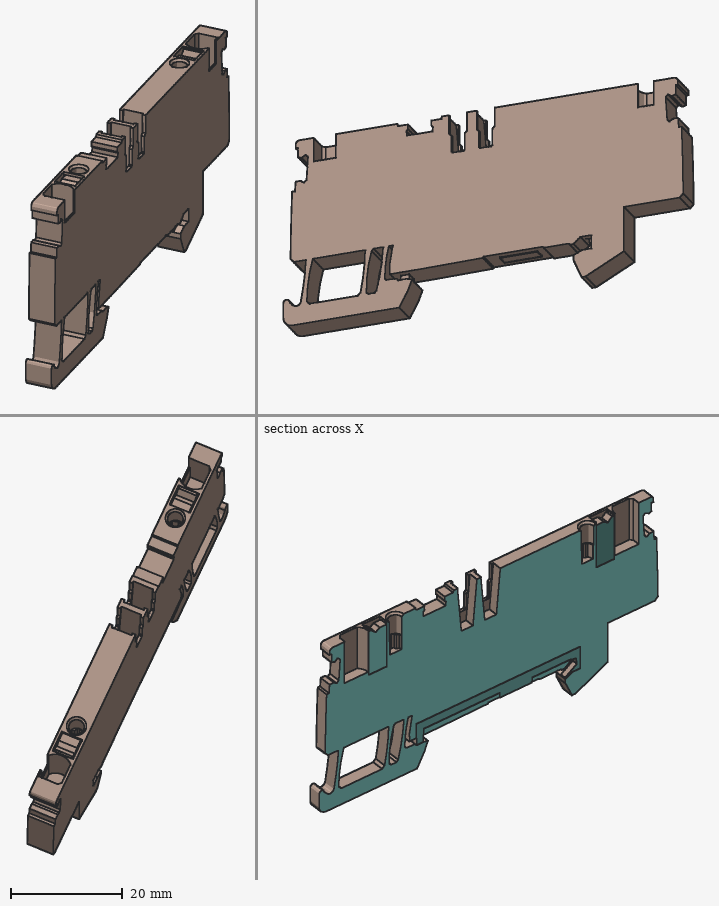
import cadquery as cq
import math

LENGTH = 77.05
WIDTH = 5.1
HEIGHT = 36.1
Y_MAX = LENGTH / 2
Y_MIN = -LENGTH / 2

MID_Y = 0.7
BLOCK_HALF = Y_MAX - MID_Y
BLOCK_BOTTOM = 12.4
CORNER = 0.7
FLANK_MID = 37.75
FLANK_MID_Z = 18.5
SHOULDER = (37.5, 26.3)
TOP_ROUND_START = 36.05
TOP_ROUND_MID = (36.6, 35.9)
TOP_ROUND_END = (36.8, 35.4)

RAIL_FACE = 7.0
RAIL_RELIEF = 7.25

FOOT_FLOOR = 3.7
FOOT_TOE_RADIUS = 1.8

SLOT_CENTERS = (0.5, -4.85)
SLOT_FLOOR = 28.65
SLOT_STEP = 32.5
SLOT_TAPER = 0.5
SLOT_UPPER_WIDTH = 3.5
SLOT_LOWER_WIDTH = 2.55
SLOT_CORNER = 0.2
SLOT_POCKET_WIDTH = 4.3
SLOT_POCKET_ACROSS = 3.85
SLOT_POCKET_FLOOR = 26.2

MARKER_CENTER = -12.25
MARKER_MOUTH_HALF = 4.3
MARKER_STEP_HALF = 4.15
MARKER_STEP_Z = 35.7
MARKER_LIP_HALF = 2.2
MARKER_LIP_Z = 34.75
MARKER_UNDERCUT_HALF = 2.55
MARKER_UNDERCUT_Z = 34.35
MARKER_FLOOR_HALF = 2.5
MARKER_FLOOR_Z = 33.5

TEST_HOLE_AT = 21.8
TEST_HOLE_MOUTH_RADIUS = 1.8
TEST_HOLE_RADIUS = 1.4
TEST_HOLE_MOUTH_DEPTH = 0.5
TEST_HOLE_ROUND_DEPTH = 4.6
TEST_HOLE_DEPTH = 7.7
TEST_HOLE_LOBES = ((0, 1.3), (20, 1.3), (46, 0.9), (64, 1.3), (90, 1.3), (112, 1.1), (130, 1.3), (180, 1.2))

ENTRY_INNER = 28.05
ENTRY_SHOULDER = 29.0
ENTRY_OUTER = 33.35
ENTRY_X_MIN = -2.0
ENTRY_X_MAX = 2.2
ENTRY_CORNER = 0.55
ENTRY_DEPTH = 9.25
ENTRY_NOTCH_INNER = 29.05
ENTRY_NOTCH_OUTER = {1: 32.1, -1: ENTRY_OUTER}
ENTRY_NOTCH_DEPTH = 4.6

PUSHER_INNER = 23.8
PUSHER_OUTER = 27.8
PUSHER_POCKET_X_MIN = -2.0
PUSHER_POCKET_X_MAX = 2.0
PUSHER_X_MIN = -1.7
PUSHER_X_MAX = 1.85
PUSHER_BOTTOM = 26.2
PUSHER_GROOVE_START = 25.4
PUSHER_GROOVE_BOTTOM = 26.35
PUSHER_GROOVE_END = 27.35
PUSHER_FLAT_Z = 35.6
PUSHER_GROOVE_Z = 35.0
PUSHER_RIM_Z = 35.9

CONTACT_THICKNESS = 2.3
CONTACT_TOP = 10.0
CONTACT_FACE = 7.1
CONTACT_BACK = 8.3
CONTACT_PAD_Y = (9.85, 2.6)
CONTACT_POST_Y = (-14.8, -16.4)
CONTACT_POST_BOTTOM = 5.4

CONTACT_HOOK_BACK = 20.8
HOOK_OUTER_Y = 27.1
HOOK_POCKET_TOP = 7.9
HOOK_POCKET_FLOOR = 5.3
HOOK_BEND_Y = 19.0
HOOK_TIP = (17.3, 4.55)

SIDES = (1, -1)


def side_y(side, distance):
    """Y of a point at a distance from the symmetry plane, on the +Y or -Y side."""
    return MID_Y + side * distance


def plate(sketch, width=WIDTH):
    """Extrude a closed YZ sketch symmetrically about X = 0."""
    return sketch.close().extrude(width / 2, both=True)


def yz_polygon(points, width=WIDTH):
    return plate(cq.Workplane("YZ").polyline(points), width)


def box(x_range, y_range, z_range):
    """Box between two limits along each axis."""
    (x0, x1), (y0, y1), (z0, z1) = x_range, y_range, z_range
    return cq.Workplane("XY").box(x1 - x0, y1 - y0, z1 - z0, centered=False).translate((x0, y0, z0))


def end_points(side):
    """Stepped end of the upper block, from below the rounded top edge to the shoulder."""
    profile = [
        TOP_ROUND_END,
        (36.8, 34.7),
        (36.4, 34.7),
        (36.4, 32.8),
        (35.7, 32.6),
        (34.9, 33.05),
        (34.4, 32.6),
        (34.75, 28.1),
        (35.2, 27.65),
        (35.8, 28.1),
        (36.8, 28.1),
        (37.0, 26.3),
        SHOULDER,
    ]
    return [(side_y(side, distance), z) for distance, z in profile]


def flank_arc(side):
    """Middle point and lower end of the slightly bowed flank below the shoulder."""
    return (side_y(side, FLANK_MID), FLANK_MID_Z), (side_y(side, BLOCK_HALF), BLOCK_BOTTOM + CORNER)


def housing_plate():
    """Solid plate with the outer outline of the block, the fixed hook and the clip foot."""
    foot_round = FOOT_TOE_RADIUS * (1 - math.sqrt(0.5))
    flank_mid, flank_end = flank_arc(-1)
    top_mid, top_mid_z = TOP_ROUND_MID
    top_end, top_end_z = TOP_ROUND_END
    sketch = (
        cq.Workplane("YZ")
        .moveTo(side_y(1, TOP_ROUND_START), HEIGHT)
        .threePointArc((side_y(1, top_mid), top_mid_z), (side_y(1, top_end), top_end_z))
        .polyline(end_points(1)[1:], includeCurrent=True)
        .threePointArc(*flank_arc(1))
        .lineTo(side_y(1, BLOCK_HALF - CORNER), BLOCK_BOTTOM)
        .lineTo(HOOK_OUTER_Y, BLOCK_BOTTOM)
        .lineTo(HOOK_OUTER_Y, 3.7)
        .lineTo(19.7, 0)
        .lineTo(18.95, 0)
        .lineTo(17.4, 3.5)
        .lineTo(*HOOK_TIP)
        .lineTo(HOOK_BEND_Y, HOOK_POCKET_FLOOR)
        .lineTo(CONTACT_HOOK_BACK, HOOK_POCKET_FLOOR)
        .lineTo(CONTACT_HOOK_BACK, HOOK_POCKET_TOP)
        .lineTo(18.7, HOOK_POCKET_TOP)
        .lineTo(17.4, 6.8)
        .lineTo(16.65, 6.8)
        .lineTo(16.5, RAIL_FACE)
        .lineTo(11.6, RAIL_FACE)
        .lineTo(11.5, RAIL_RELIEF)
        .lineTo(0.1, RAIL_RELIEF)
        .lineTo(-0.1, RAIL_FACE)
        .lineTo(-11.55, 6.85)
        .lineTo(-17.95, 6.85)
        .lineTo(-18.0, 8.6)
        .lineTo(-17.4, BLOCK_BOTTOM)
        .lineTo(-18.2, BLOCK_BOTTOM)
        .threePointArc((-18.7, 9.6), (-18.95, 6.2))
        .lineTo(-18.7, 5.85)
        .lineTo(-16.7, 5.8)
        .lineTo(CONTACT_POST_Y[1], CONTACT_POST_BOTTOM)
        .lineTo(CONTACT_POST_Y[0], CONTACT_POST_BOTTOM)
        .lineTo(-13.7, 5.1)
        .lineTo(-14.5, 3.1)
        .lineTo(-16.2, 0)
        .lineTo(Y_MIN + FOOT_TOE_RADIUS, 0)
        .threePointArc((Y_MIN + foot_round, foot_round), (Y_MIN, FOOT_TOE_RADIUS))
        .lineTo(Y_MIN, 4.6)
        .threePointArc((-37.9, 5.25), (-37.3, 4.6))
        .lineTo(-36.6, 3.9)
        .threePointArc((-35.9, FOOT_FLOOR), (-35.1, 4.5))
        .threePointArc((-34.4, 9.1), (-34.1, BLOCK_BOTTOM))
        .lineTo(side_y(-1, BLOCK_HALF - CORNER), BLOCK_BOTTOM)
        .lineTo(*flank_end)
        .threePointArc(flank_mid, (side_y(-1, SHOULDER[0]), SHOULDER[1]))
        .polyline(end_points(-1)[-2::-1], includeCurrent=True)
        .threePointArc((side_y(-1, top_mid), top_mid_z), (side_y(-1, TOP_ROUND_START), HEIGHT))
    )
    return plate(sketch)


def foot_windows():
    """Two windows between the curved struts that carry the clip foot."""
    wide = (
        cq.Workplane("YZ")
        .moveTo(-22.7, BLOCK_BOTTOM)
        .threePointArc((-23.0, 8.2), (-23.65, 4.2))
        .lineTo(-24.2, FOOT_FLOOR)
        .lineTo(-33.4, FOOT_FLOOR)
        .lineTo(-34.0, 4.2)
        .threePointArc((-33.7, 8.3), (-32.8, BLOCK_BOTTOM))
    )
    narrow = (
        cq.Workplane("YZ")
        .moveTo(-19.25, BLOCK_BOTTOM)
        .threePointArc((-19.7, 8.25), (-20.6, 4.1))
        .lineTo(-20.95, FOOT_FLOOR)
        .lineTo(-22.1, FOOT_FLOOR)
        .lineTo(-22.5, 4.0)
        .threePointArc((-22.3, 8.25), (-21.5, 12.0))
        .lineTo(-21.1, BLOCK_BOTTOM)
    )
    return plate(wide).union(plate(narrow))


def jumper_slot(center):
    """Stepped slot across the full width, with a deeper, tapered pocket inside."""
    upper = SLOT_UPPER_WIDTH / 2
    lower = SLOT_LOWER_WIDTH / 2
    half = [
        (upper, HEIGHT),
        (upper, SLOT_STEP),
        (lower, SLOT_STEP - SLOT_TAPER),
        (lower, SLOT_FLOOR + SLOT_CORNER),
        (lower - SLOT_CORNER, SLOT_FLOOR),
    ]
    right = [(center + offset, z) for offset, z in half]
    left = [(center - offset, z) for offset, z in reversed(half)]
    through = yz_polygon(right + left)

    mouth = SLOT_POCKET_WIDTH / 2
    pocket = yz_polygon(
        [
            (center + mouth, HEIGHT),
            (center + lower, SLOT_POCKET_FLOOR),
            (center - lower, SLOT_POCKET_FLOOR),
            (center - mouth, HEIGHT),
        ],
        SLOT_POCKET_ACROSS,
    )
    return through.union(pocket)


def marker_groove():
    """Shallow step with an undercut groove that holds a marker tag."""
    half = [
        (MARKER_MOUTH_HALF, HEIGHT),
        (MARKER_STEP_HALF, MARKER_STEP_Z),
        (MARKER_LIP_HALF, MARKER_STEP_Z),
        (MARKER_LIP_HALF, MARKER_LIP_Z),
        (MARKER_UNDERCUT_HALF, MARKER_UNDERCUT_Z),
        (MARKER_FLOOR_HALF, MARKER_FLOOR_Z),
    ]
    right = [(MARKER_CENTER + offset, z) for offset, z in half]
    left = [(MARKER_CENTER - offset, z) for offset, z in reversed(half)]
    return yz_polygon(right + left)


def test_hole(side):
    """Round bore with a conical mouth and a lobed lower part; one lobe points to the middle of the block."""
    lobes = list(TEST_HOLE_LOBES)
    lobes += [(-angle, radius) for angle, radius in reversed(TEST_HOLE_LOBES[1:-1])]
    points = [
        (radius * math.sin(math.radians(angle)), -side * radius * math.cos(math.radians(angle)))
        for angle, radius in lobes
    ]
    center = (0, side_y(side, TEST_HOLE_AT), HEIGHT)
    lobed = cq.Workplane("XY", origin=center).polyline(points).close().extrude(-TEST_HOLE_DEPTH)
    bore = cq.Workplane("XY", origin=center).circle(TEST_HOLE_RADIUS).extrude(-TEST_HOLE_ROUND_DEPTH)
    mouth = (
        cq.Workplane("XY", origin=center)
        .circle(TEST_HOLE_MOUTH_RADIUS)
        .workplane(offset=-TEST_HOLE_MOUTH_DEPTH)
        .circle(TEST_HOLE_RADIUS)
        .loft()
    )
    return lobed.union(bore).union(mouth)


def wire_entry(side):
    """Wire funnel with an arched inner side and a notch through the +X wall."""
    shoulder = side_y(side, ENTRY_SHOULDER)
    outer = side_y(side, ENTRY_OUTER)
    x_mid = (ENTRY_X_MIN + ENTRY_X_MAX) / 2
    funnel = (
        cq.Workplane("XY", origin=(0, 0, HEIGHT))
        .moveTo(ENTRY_X_MIN, shoulder)
        .threePointArc((x_mid, side_y(side, ENTRY_INNER)), (ENTRY_X_MAX, shoulder))
        .lineTo(ENTRY_X_MAX, outer)
        .lineTo(ENTRY_X_MIN + ENTRY_CORNER, outer)
        .lineTo(ENTRY_X_MIN, outer - side * ENTRY_CORNER)
        .close()
        .extrude(-ENTRY_DEPTH)
    )
    notch = box(
        (0, WIDTH / 2),
        sorted((side_y(side, ENTRY_NOTCH_INNER), side_y(side, ENTRY_NOTCH_OUTER[side]))),
        (HEIGHT - ENTRY_NOTCH_DEPTH, HEIGHT),
    )
    return funnel.union(notch)


def pusher_pocket(side):
    return box(
        (PUSHER_POCKET_X_MIN, PUSHER_POCKET_X_MAX),
        sorted((side_y(side, PUSHER_INNER), side_y(side, PUSHER_OUTER))),
        (PUSHER_BOTTOM, HEIGHT),
    )


def make_pusher(side):
    """Release pusher: a block whose top has a flat, a cross groove and a raised rim."""
    profile = [
        (PUSHER_INNER, PUSHER_BOTTOM),
        (PUSHER_INNER, PUSHER_FLAT_Z),
        (PUSHER_GROOVE_START, PUSHER_FLAT_Z),
        (PUSHER_GROOVE_BOTTOM, PUSHER_GROOVE_Z),
        (PUSHER_GROOVE_END, PUSHER_RIM_Z),
        (PUSHER_OUTER, PUSHER_RIM_Z),
        (PUSHER_OUTER, PUSHER_BOTTOM),
    ]
    points = [(side_y(side, distance), z) for distance, z in profile]
    blank = yz_polygon(points, PUSHER_X_MAX - PUSHER_X_MIN)
    return blank.translate(((PUSHER_X_MIN + PUSHER_X_MAX) / 2, 0, 0))


def make_rail_contact():
    """Plate along the rail face with a hook at one end and a post at the other."""
    post_inner, post_outer = CONTACT_POST_Y
    return yz_polygon(
        [
            (CONTACT_HOOK_BACK, CONTACT_TOP),
            (CONTACT_HOOK_BACK, HOOK_POCKET_FLOOR),
            (HOOK_BEND_Y, HOOK_POCKET_FLOOR),
            HOOK_TIP,
            (17.3, 4.8),
            (20.0, 6.6),
            (19.8, HOOK_POCKET_TOP),
            (18.5, CONTACT_BACK),
            (CONTACT_PAD_Y[0], CONTACT_BACK),
            (CONTACT_PAD_Y[0], CONTACT_FACE),
            (CONTACT_PAD_Y[1], CONTACT_FACE),
            (CONTACT_PAD_Y[1], CONTACT_BACK),
            (post_inner, CONTACT_BACK),
            (post_inner, CONTACT_POST_BOTTOM),
            (post_outer, CONTACT_POST_BOTTOM),
            (post_outer, CONTACT_TOP),
        ],
        CONTACT_THICKNESS,
    )


def make_housing(rail_contact):
    housing = housing_plate().cut(foot_windows()).cut(marker_groove())
    for center in SLOT_CENTERS:
        housing = housing.cut(jumper_slot(center))
    for side in SIDES:
        housing = housing.cut(test_hole(side)).cut(wire_entry(side)).cut(pusher_pocket(side))
    return housing.cut(rail_contact)


rail_contact = make_rail_contact()
pushers = [make_pusher(side) for side in SIDES]
housing = make_housing(rail_contact)

result = cq.Compound.makeCompound(
    [
        housing.solids().val(),
        rail_contact.solids().val(),
        *[pusher.solids().val() for pusher in pushers],
    ]
)